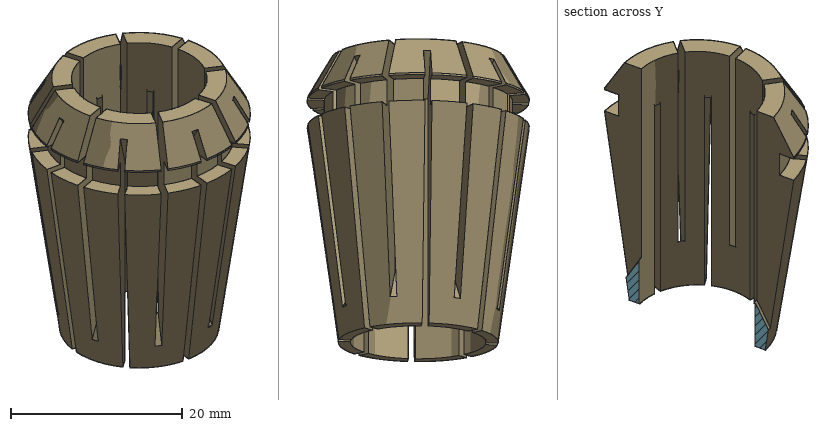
import cadquery as cq
import math

length = 34.0
rim_radius = 13.0
bore_radius = 7.92

nose_angle = 30.0
body_angle = 8.0
nose_radius = 10.25
groove_bottom = 25.9
groove_top = 29.0
groove_radius = 11.05

slit_width = 0.8
slits_per_end = 8
slit_step = 360.0 / slits_per_end
front_slit_end = 3.15
back_slit_end = 32.37
front_slit_end_angle = 61.0
back_slit_end_angle = 57.0
clearance = 1.7

nose_base = length - (rim_radius - nose_radius) / math.tan(math.radians(nose_angle))
tail_radius = rim_radius - groove_bottom * math.tan(math.radians(body_angle))


def make_body():
    """Hollow turned blank: tapered body, extraction groove and conical nose."""
    return (
        cq.Workplane("XZ")
        .moveTo(bore_radius, 0)
        .lineTo(tail_radius, 0)
        .lineTo(rim_radius, groove_bottom)
        .lineTo(groove_radius, groove_bottom)
        .lineTo(groove_radius, groove_top)
        .lineTo(rim_radius, groove_top)
        .lineTo(rim_radius, nose_base)
        .lineTo(nose_radius, length)
        .lineTo(bore_radius, length)
        .close()
        .revolve(360, (0, 0, 0), (0, 1, 0))
    )


def make_slit(exit_radius, exit_height, slope, open_height):
    """Radial slit along +X whose sloped end leaves the outer surface at the exit point."""
    inner_radius = bore_radius - clearance
    outer_radius = rim_radius + clearance

    def end_height(radius):
        return exit_height + slope * (exit_radius - radius)

    return (
        cq.Workplane("XZ")
        .moveTo(inner_radius, open_height)
        .lineTo(inner_radius, end_height(inner_radius))
        .lineTo(outer_radius, end_height(outer_radius))
        .lineTo(outer_radius, open_height)
        .close()
        .extrude(slit_width / 2, both=True)
    )


front_slope = math.tan(math.radians(front_slit_end_angle))
back_slope = math.tan(math.radians(back_slit_end_angle))

front_exit_radius = tail_radius + front_slit_end * math.tan(math.radians(body_angle))
front_slit = make_slit(front_exit_radius, front_slit_end, front_slope, length + clearance)

back_exit_radius = nose_radius + (length - back_slit_end) * math.tan(math.radians(nose_angle))
back_slit = make_slit(back_exit_radius, back_slit_end, -back_slope, -clearance)

result = make_body()
for i in range(slits_per_end):
    front_angle = i * slit_step
    back_angle = front_angle + slit_step / 2
    result = result.cut(front_slit.rotate((0, 0, 0), (0, 0, 1), front_angle))
    result = result.cut(back_slit.rotate((0, 0, 0), (0, 0, 1), back_angle))